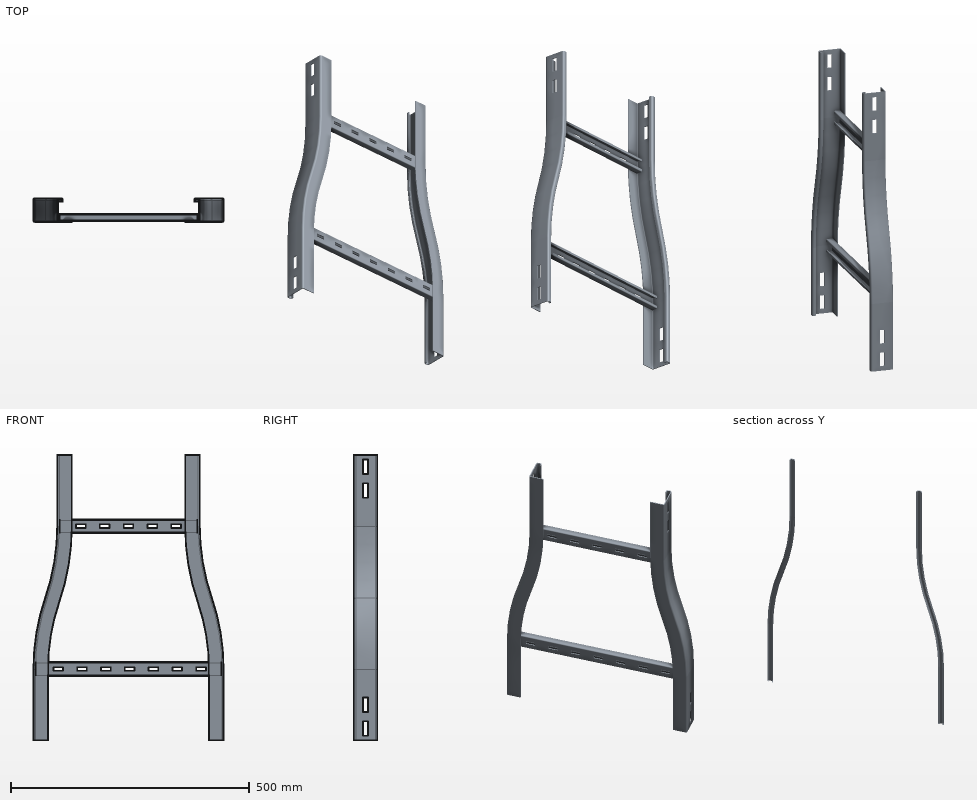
import cadquery as cq
import math

HEIGHT = 600.0
MODULE = HEIGHT / 12
BOTTOM_WIDTH = 8 * MODULE
TOP_WIDTH = 6 * MODULE
STRAIGHT_LENGTH = 3 * MODULE
SHEET = 2.0

RAIL_DEPTH = MODULE
FRONT_FLANGE = 31.0
BACK_FLANGE = 12.0
BACK_LIP = 8.0
RAIL_BEND = 4.0

RAIL_SLOTS_PER_END = 2
RAIL_SLOT_LENGTH = 30.0
RAIL_SLOT_WIDTH = 10.0
RAIL_SLOT_PITCH = MODULE
RAIL_SLOT_INSET = MODULE / 2

RUNG_HEIGHT = 30.0
RUNG_DEPTH = 15.0
RUNG_LIP = 6.0
RUNG_BEND = SHEET
RUNG_END_GAP = 5.5

UPPER_RUNG_SLOTS = 5
LOWER_RUNG_SLOTS = 7
LOWER_SLOT_SHIFT = 2.5
RUNG_SLOT_LENGTH = 20.0
RUNG_SLOT_WIDTH = 7.0
RUNG_SLOT_PITCH = MODULE

FRONT_Y = -RAIL_DEPTH / 2
RUNG_FRONT_Y = FRONT_Y + SHEET

SHIFT = (BOTTOM_WIDTH - TOP_WIDTH) / 2
ARC_RISE = HEIGHT / 2 - STRAIGHT_LENGTH
ARC_RADIUS = (ARC_RISE**2 + (SHIFT / 2) ** 2) / SHIFT
ARC_ANGLE = math.asin(ARC_RISE / ARC_RADIUS)


def round_corners(face, corners, radius):
    """Round the corners of a flat face that lie at the given points."""
    tolerance = SHEET / 10
    centres = [cq.Vector(*corner) for corner in corners]
    vertices = [v for v in face.Vertices()
                if any((v.Center() - centre).Length < tolerance for centre in centres)]
    return face.fillet2D(radius, vertices)


def bent_section(outer, inner, bend_radius):
    """Thin sheet section between two offset polylines, with every bend rounded."""
    outline = [cq.Vector(*point) for point in outer + inner[::-1]]
    face = cq.Face.makeFromWires(cq.Wire.makePolygon(outline, close=True))
    face = round_corners(face, outer[1:-1], bend_radius)
    if bend_radius > SHEET:
        face = round_corners(face, inner[1:-1], bend_radius - SHEET)
    return face


def rail_path():
    """Outer face of the left rail from bottom to top: line, arc, opposite arc, line."""
    bottom_x = -BOTTOM_WIDTH / 2
    top_x = -TOP_WIDTH / 2
    half_sag = ARC_RADIUS * (1 - math.cos(ARC_ANGLE / 2))
    half_rise = ARC_RADIUS * math.sin(ARC_ANGLE / 2)
    return (
        cq.Workplane("XZ")
        .moveTo(bottom_x, 0)
        .lineTo(bottom_x, STRAIGHT_LENGTH)
        .threePointArc((bottom_x + half_sag, STRAIGHT_LENGTH + half_rise),
                       (bottom_x + SHIFT / 2, HEIGHT / 2))
        .threePointArc((top_x - half_sag, HEIGHT - STRAIGHT_LENGTH - half_rise),
                       (top_x, HEIGHT - STRAIGHT_LENGTH))
        .lineTo(top_x, HEIGHT)
    )


def rail_section():
    """Channel open towards the middle, with a short back flange and a return lip."""
    x = -BOTTOM_WIDTH / 2
    front = FRONT_Y
    back = FRONT_Y + RAIL_DEPTH
    outer = [
        (x + FRONT_FLANGE, front),
        (x, front),
        (x, back),
        (x + BACK_FLANGE, back),
        (x + BACK_FLANGE, back - BACK_LIP),
    ]
    inner = [
        (x + FRONT_FLANGE, front + SHEET),
        (x + SHEET, front + SHEET),
        (x + SHEET, back - SHEET),
        (x + BACK_FLANGE - SHEET, back - SHEET),
        (x + BACK_FLANGE - SHEET, back - BACK_LIP),
    ]
    return bent_section(outer, inner, RAIL_BEND)


def rail_slots():
    """Cutters for the web slots, long enough in X to pass through both ends' webs."""
    heights = []
    for i in range(RAIL_SLOTS_PER_END):
        inset = RAIL_SLOT_INSET + i * RAIL_SLOT_PITCH
        heights += [inset, HEIGHT - inset]
    return (
        cq.Workplane("YZ")
        .pushPoints([(0, z) for z in heights])
        .rect(RAIL_SLOT_WIDTH, RAIL_SLOT_LENGTH)
        .extrude(-BOTTOM_WIDTH)
    )


def make_left_rail():
    section = cq.Workplane("XY").add(rail_section().outerWire()).toPending()
    return section.sweep(rail_path()).cut(rail_slots())


def make_rung(frame_width, centre_z, slot_count, slot_shift=0):
    """Lipped channel with its web against the front flanges of the rails."""
    length = frame_width - 2 * RUNG_END_GAP
    front = RUNG_FRONT_Y
    back = front + RUNG_DEPTH
    half = RUNG_HEIGHT / 2
    lip_end = half - RUNG_LIP
    outer = [(back, lip_end), (back, half), (front, half)]
    inner = [(back - SHEET, lip_end), (back - SHEET, half - SHEET), (front + SHEET, half - SHEET)]
    outer += [(y, -z) for y, z in outer[::-1]]
    inner += [(y, -z) for y, z in inner[::-1]]
    section = bent_section(outer, inner, RUNG_BEND)
    rung = (
        cq.Workplane("YZ", origin=(-length / 2, 0, centre_z))
        .placeSketch(cq.Sketch().face(section))
        .extrude(length)
    )
    slots = (
        cq.Workplane("XZ", origin=(slot_shift, front, centre_z))
        .rarray(RUNG_SLOT_PITCH, 6, slot_count, 1)
        .rect(RUNG_SLOT_LENGTH, RUNG_SLOT_WIDTH)
        .extrude(-SHEET)
    )
    return rung.cut(slots)


left_rail = make_left_rail()
right_rail = left_rail.mirror("YZ")
lower_rung = make_rung(BOTTOM_WIDTH, STRAIGHT_LENGTH, LOWER_RUNG_SLOTS, LOWER_SLOT_SHIFT)
upper_rung = make_rung(TOP_WIDTH, HEIGHT - STRAIGHT_LENGTH, UPPER_RUNG_SLOTS)

result = cq.Compound.makeCompound(
    [left_rail.val(), right_rail.val(), lower_rung.val(), upper_rung.val()]
)